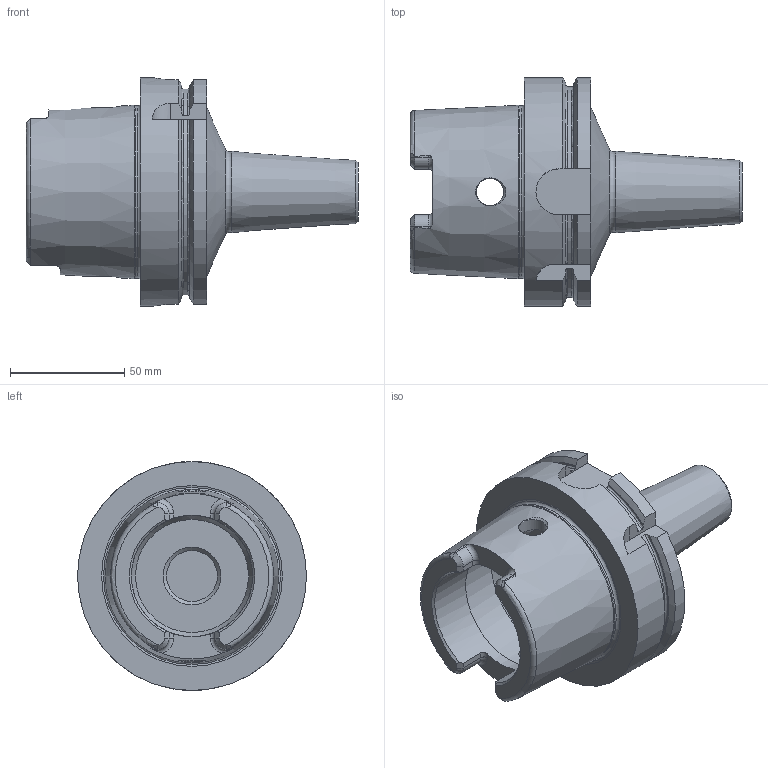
import cadquery as cq
import math


shank_length = 50.0
nose_end = 95.0
flange_width = 29.0

shank_mouth_radius = 35.6
shank_root_radius = 37.85
shank_root_x = -2.75
mouth_round = 2.0

relief_start_x = -2.0
relief_curve_x = -1.1
relief_neck_radius = 37.65
relief_depth = 0.2
relief_floor_radius = 38.65
relief_outer_radius = 39.5

flange_radius = 50.0
groove_x = 19.8
groove_half_width = 3.2
groove_neck_half_width = 1.75
groove_floor_radius = 46.0
groove_floor_round = 0.85
groove_angle = 30.0

cone_start_radius = 36.9
neck_start_x = 37.0
neck_start_radius = 18.8
neck_end_x = 39.8
neck_end_radius = 17.8
nose_tip_radius = 13.83
nose_tip_chamfer = 1.0

mouth_bore_radius = 26.5
mouth_bore_chamfer = 0.9
lip_x = -30.0
chamber_radius = 31.5
chamber_end_x = -9.5
lip_angle = 60.0
floor_cone_angle = 30.0
bore_floor_radius = 24.7
center_hole_radius = 11.1
center_hole_chamfer = 1.5
center_hole_depth = 15.0

access_x = -15.1
access_radius = 6.0
access_chamfer = 0.6

drive_half_width = 10.0
drive_round = 5.0
drive_shoulder_z = 32.1
drive_floor_round = 2.0
drive_bevel = 2.0
drive_bottom_z = 18.0
drive_clear_y = 25.0
drive_clear_z = 45.0
drive_depth_top = 10.0
drive_depth_bottom = 15.0

key_half_width = 10.0
key_start_x = 5.0
key_floor = 44.0
notch_wall = 31.6
notch_round = 8.0

DIAGONAL = math.sqrt(0.5)


def revolve_about_x(outline):
    return outline.close().revolve(360, (0, 0, 0), (1, 0, 0))


def turned_body():
    wall_drop = (groove_half_width - groove_neck_half_width) / math.tan(math.radians(groove_angle))
    groove_neck_radius = flange_radius - wall_drop
    groove_left = groove_x - groove_neck_half_width
    groove_right = groove_x + groove_neck_half_width
    groove_round_radius = groove_floor_radius + groove_floor_round
    floor_bow = groove_floor_round * (1 - DIAGONAL)
    mouth_x = -shank_length
    return revolve_about_x(
        cq.Workplane("XY")
        .moveTo(mouth_x, 0)
        .lineTo(mouth_x, shank_mouth_radius - mouth_round)
        .threePointArc(
            (mouth_x + mouth_round * (1 - DIAGONAL), shank_mouth_radius - mouth_round * (1 - DIAGONAL)),
            (mouth_x + mouth_round, shank_mouth_radius),
        )
        .lineTo(shank_root_x, shank_root_radius)
        .lineTo(relief_start_x, relief_neck_radius)
        .lineTo(relief_curve_x, relief_neck_radius)
        .tangentArcPoint((relief_depth, relief_floor_radius), relative=False)
        .lineTo(0, relief_outer_radius)
        .lineTo(0, flange_radius)
        .lineTo(groove_x - groove_half_width, flange_radius)
        .lineTo(groove_left, groove_neck_radius)
        .lineTo(groove_left, groove_round_radius)
        .threePointArc(
            (groove_left + floor_bow, groove_floor_radius + floor_bow),
            (groove_left + groove_floor_round, groove_floor_radius),
        )
        .lineTo(groove_right - groove_floor_round, groove_floor_radius)
        .threePointArc(
            (groove_right - floor_bow, groove_floor_radius + floor_bow),
            (groove_right, groove_round_radius),
        )
        .lineTo(groove_right, groove_neck_radius)
        .lineTo(groove_x + groove_half_width, flange_radius)
        .lineTo(flange_width, flange_radius)
        .lineTo(flange_width, cone_start_radius)
        .lineTo(neck_start_x, neck_start_radius)
        .tangentArcPoint((neck_end_x, neck_end_radius), relative=False)
        .lineTo(nose_end - nose_tip_chamfer, nose_tip_radius)
        .lineTo(nose_end, nose_tip_radius - nose_tip_chamfer)
        .lineTo(nose_end, 0)
    )


def shank_cavity():
    """Stepped bore with an undercut chamber and a blind center hole in its floor."""
    lip_run = (chamber_radius - mouth_bore_radius) / math.tan(math.radians(lip_angle))
    floor_run = (chamber_radius - bore_floor_radius) / math.tan(math.radians(floor_cone_angle))
    floor_x = chamber_end_x + floor_run
    return revolve_about_x(
        cq.Workplane("XY")
        .moveTo(-shank_length, 0)
        .lineTo(-shank_length, mouth_bore_radius + mouth_bore_chamfer)
        .lineTo(-shank_length + mouth_bore_chamfer, mouth_bore_radius)
        .lineTo(lip_x, mouth_bore_radius)
        .lineTo(lip_x + lip_run, chamber_radius)
        .lineTo(chamber_end_x, chamber_radius)
        .lineTo(floor_x, bore_floor_radius)
        .lineTo(floor_x, center_hole_radius + center_hole_chamfer)
        .lineTo(floor_x + center_hole_chamfer, center_hole_radius)
        .lineTo(floor_x + center_hole_depth, center_hole_radius)
        .lineTo(floor_x + center_hole_depth, 0)
    )


def access_holes():
    """One drill through both shank walls, with each outer rim lightly chamfered."""
    taper_length = shank_root_x + shank_length - mouth_round
    taper_fraction = (access_x + shank_length - mouth_round) / taper_length
    rim_z = shank_mouth_radius + taper_fraction * (shank_root_radius - shank_mouth_radius)
    cutter = cq.Workplane("XY").center(access_x, 0).circle(access_radius).extrude(flange_radius, both=True)
    cone_height = 2 * access_chamfer
    cone_base = cq.Vector(access_x, 0, rim_z - access_chamfer)
    cone = cq.Solid.makeCone(access_radius, access_radius + cone_height, cone_height, cone_base)
    countersink = cq.Workplane(cone)
    return cutter.union(countersink).union(countersink.mirror("XY"))


def drive_profile(x, growth):
    """Slot section at x: straight flanks flaring out through arcs into flat shoulders."""
    half_width = drive_half_width + growth
    corner = drive_round - growth
    shoulder = drive_shoulder_z - growth
    bow = corner * (1 - DIAGONAL)
    return (
        cq.Workplane("YZ", origin=(x, 0, 0))
        .moveTo(-half_width, drive_bottom_z)
        .lineTo(half_width, drive_bottom_z)
        .lineTo(half_width, shoulder - corner)
        .threePointArc((half_width + bow, shoulder - bow), (half_width + corner, shoulder))
        .lineTo(drive_clear_y, shoulder)
        .lineTo(drive_clear_y, drive_clear_z)
        .lineTo(-drive_clear_y, drive_clear_z)
        .lineTo(-drive_clear_y, shoulder)
        .lineTo(-half_width - corner, shoulder)
        .threePointArc((-half_width - bow, shoulder - bow), (-half_width, shoulder - corner))
        .close()
    )


def drive_slot(depth):
    """Slot on the +Z side, rounded along its floor and beveled at the mouth."""
    slot = drive_profile(-shank_length, 0).extrude(depth).faces(">X").edges().fillet(drive_floor_round)
    mouth = cq.Solid.makeLoft(
        [
            drive_profile(-shank_length, drive_bevel).wires().val(),
            drive_profile(-shank_length + drive_bevel, 0).wires().val(),
        ],
        True,
    )
    return slot.union(cq.Workplane(mouth))


def flange_key_slot():
    """Slot on the +Z side of the flange with a full-round end."""
    straight_start = key_start_x + key_half_width
    depth = flange_radius - key_floor
    straight = cq.Workplane("XY").box(
        flange_width - straight_start, 2 * key_half_width, depth, centered=(False, True, False)
    )
    end = cq.Workplane("XY").circle(key_half_width).extrude(depth)
    return straight.union(end).translate((straight_start, 0, key_floor))


def flange_notch():
    """Step in the -Y, +Z corner of the flange, its wall rounding off toward the shank."""
    bow = notch_round * (1 - DIAGONAL)
    return (
        cq.Workplane("XY", origin=(0, 0, notch_wall))
        .moveTo(flange_width, -notch_wall)
        .lineTo(key_start_x + notch_round, -notch_wall)
        .threePointArc(
            (key_start_x + bow, -notch_wall - bow),
            (key_start_x, -notch_wall - notch_round),
        )
        .lineTo(key_start_x, -flange_radius)
        .lineTo(flange_width, -flange_radius)
        .close()
        .extrude(flange_radius - notch_wall)
    )


key_slot = flange_key_slot()
result = (
    turned_body()
    .cut(shank_cavity())
    .cut(access_holes())
    .cut(drive_slot(drive_depth_top))
    .cut(drive_slot(drive_depth_bottom).mirror("XY"))
    .cut(key_slot)
    .cut(key_slot.mirror("XY"))
    .cut(flange_notch())
)